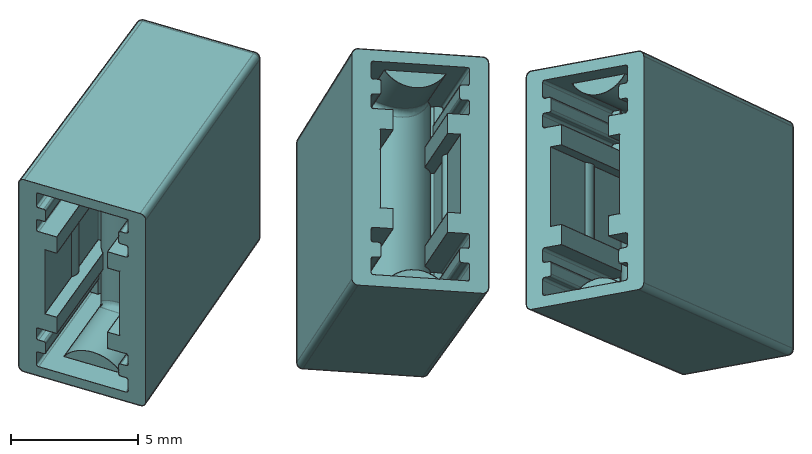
import cadquery as cq
import math

WIDTH = 5.5
LENGTH = 11.2
HEIGHT = 9.8
DRAFT_ANGLE = 0.5
OUTER_ROUND = 0.25

CAVITY_HALF_WIDTH = 1.61
CAVITY_HALF_HEIGHT = 4.42
CAVITY_DEPTH = 5.04

SLOT_HALF_WIDTH = 1.98
SLOT_CORNER = 0.1
RIB_INNER_X = 1.1
RIB_Z = (1.64, 2.46)
TOOTH_INNER_X = 1.58
TOOTH_Z = (3.07, 3.68)
TOOTH_CORNER = 0.09

POST_RADIUS = 1.51
POST_HALF_WIDTH = 1.47
ARCH_RISE = 0.65
ARCH_FRONT = 0.99
ARCH_FILLET = 0.28

BEAD_RADIUS = 0.46
BEAD_Y = 2.85
BEAD_INNER_X = 1.48

SIDES = (1, -1)


def box(x_range, y_range, z_range):
    """Axis-aligned block; each range holds two opposite limits in any order."""
    ranges = (x_range, y_range, z_range)
    size = [abs(b - a) for a, b in ranges]
    middle = [(a + b) / 2 for a, b in ranges]
    return cq.Workplane("XY").box(*size).translate(tuple(middle))


def upright_cylinder(x, y, radius, half_height):
    return (
        cq.Workplane("XY", origin=(x, y, -half_height)).circle(radius).extrude(2 * half_height)
    )


def make_chamber(width):
    """Block with the full height and depth of the cavity."""
    return box(
        (-width / 2, width / 2),
        (0, CAVITY_DEPTH),
        (-CAVITY_HALF_HEIGHT, CAVITY_HALF_HEIGHT),
    )


def make_shell():
    front = cq.Plane(origin=(0, 0, 0), xDir=(1, 0, 0), normal=(0, 1, 0))
    block = cq.Workplane(front).rect(WIDTH, HEIGHT).extrude(LENGTH, taper=DRAFT_ANGLE)
    return block.edges("not <Y").fillet(OUTER_ROUND)


def make_guide_slots(x_side, z_side):
    """The two slots of one cavity corner, joined where the rounded tip of a tooth fits in."""
    x_range = (0, x_side * SLOT_HALF_WIDTH)
    y_range = (0, CAVITY_DEPTH)
    outer_face = ">X" if x_side > 0 else "<X"
    inner = box(x_range, y_range, (z_side * RIB_Z[1], z_side * TOOTH_Z[0]))
    outer = box(x_range, y_range, (z_side * TOOTH_Z[1], z_side * CAVITY_HALF_HEIGHT))
    inner = inner.faces(outer_face).edges("|Y").fillet(SLOT_CORNER)
    outer = outer.faces(outer_face).edges("|Y").fillet(SLOT_CORNER)
    tooth_clearance = box(
        (0, x_side * (TOOTH_INNER_X + TOOTH_CORNER)),
        y_range,
        (z_side * TOOTH_Z[0], z_side * TOOTH_Z[1]),
    )
    return inner.union(outer).union(tooth_clearance)


def make_tooth(x_side, z_side):
    inner_face = "<X" if x_side > 0 else ">X"
    tooth = box(
        (x_side * TOOTH_INNER_X, x_side * SLOT_HALF_WIDTH),
        (0, CAVITY_DEPTH),
        (z_side * TOOTH_Z[0], z_side * TOOTH_Z[1]),
    )
    return tooth.faces(inner_face).edges("|Y").fillet(TOOTH_CORNER)


def make_rib(x_side, z_side):
    return box(
        (x_side * RIB_INNER_X, x_side * SLOT_HALF_WIDTH),
        (0, CAVITY_DEPTH),
        (z_side * RIB_Z[0], z_side * RIB_Z[1]),
    )


def make_post_and_arches():
    post_y = CAVITY_DEPTH + math.sqrt(POST_RADIUS**2 - POST_HALF_WIDTH**2)
    core = upright_cylinder(0, post_y, POST_RADIUS, CAVITY_HALF_HEIGHT)
    arch_axis_z = CAVITY_HALF_HEIGHT + POST_RADIUS - ARCH_RISE
    for z_side in SIDES:
        arch = (
            cq.Workplane("XZ", origin=(0, post_y, z_side * arch_axis_z))
            .circle(POST_RADIUS)
            .extrude(post_y - ARCH_FRONT)
        )
        core = core.union(arch)
    core = core.intersect(make_chamber(2 * POST_RADIUS))
    joint_y = post_y - POST_RADIUS
    joint_z = CAVITY_HALF_HEIGHT - ARCH_RISE
    for z_side in SIDES:
        joint = cq.selectors.NearestToPointSelector((0, joint_y, z_side * joint_z))
        core = core.edges(joint).fillet(ARCH_FILLET)
    return core


def make_cavity():
    cavity = make_chamber(2 * CAVITY_HALF_WIDTH)
    groove_radius = (CAVITY_HALF_WIDTH - POST_HALF_WIDTH) / 2
    for x_side in SIDES:
        groove_x = x_side * (POST_HALF_WIDTH + groove_radius)
        cavity = cavity.union(
            upright_cylinder(groove_x, CAVITY_DEPTH, groove_radius, CAVITY_HALF_HEIGHT)
        )
        bead_x = x_side * (BEAD_INNER_X + BEAD_RADIUS)
        cavity = cavity.cut(upright_cylinder(bead_x, BEAD_Y, BEAD_RADIUS, RIB_Z[1]))
        for z_side in SIDES:
            cavity = cavity.union(make_guide_slots(x_side, z_side))
            cavity = cavity.cut(make_tooth(x_side, z_side))
            cavity = cavity.cut(make_rib(x_side, z_side))
    return cavity.cut(make_post_and_arches())


result = make_shell().cut(make_cavity())